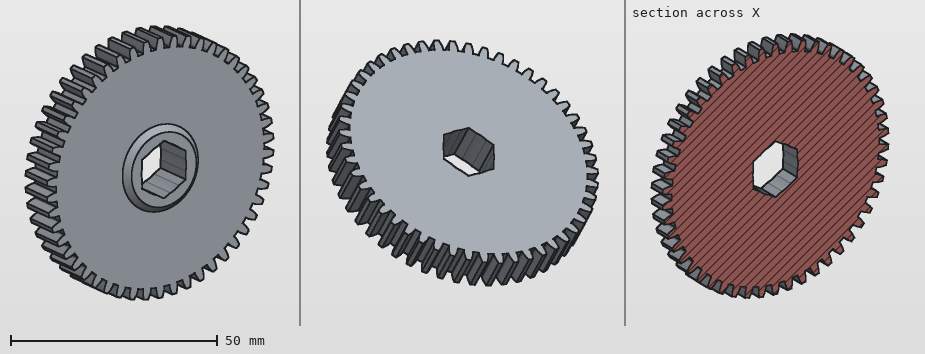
import cadquery as cq
import math

OUTER_DIAMETER = 66.05
TOOTH_COUNT = 50
PRESSURE_ANGLE = math.radians(14.5)
DEDENDUM_FACTOR = 1.157
GEAR_WIDTH = 9.4
FLANK_STEPS = 4

HUB_BASE_DIAMETER = 22.05
HUB_TAPER_DEGREES = 45.0
HUB_HEIGHT = 1.6

HEX_ACROSS_FLATS = 12.7
BORE_DIAMETER = 13.0

MODULE = OUTER_DIAMETER / (TOOTH_COUNT + 2)
OUTER_RADIUS = OUTER_DIAMETER / 2
PITCH_RADIUS = MODULE * TOOTH_COUNT / 2
BASE_RADIUS = PITCH_RADIUS * math.cos(PRESSURE_ANGLE)
ROOT_RADIUS = PITCH_RADIUS - DEDENDUM_FACTOR * MODULE
TOOTH_PITCH_ANGLE = 2 * math.pi / TOOTH_COUNT
FIRST_TOOTH_ANGLE = math.pi / 2
TOTAL_WIDTH = GEAR_WIDTH + HUB_HEIGHT


def involute(angle):
    """Polar angle swept by an involute when its pressure angle reaches the given angle."""
    return math.tan(angle) - angle


def tooth_half_angle(radius):
    """Half the angle a tooth spans at a radius; flanks are radial below the base circle."""
    pressure = math.acos(min(1.0, BASE_RADIUS / radius))
    return TOOTH_PITCH_ANGLE / 4 + involute(PRESSURE_ANGLE) - involute(pressure)


def polar(radius, angle):
    return (radius * math.cos(angle), radius * math.sin(angle))


def flank_points(center_angle, side):
    """Involute points from the base circle out to the tip, on one side of a tooth."""
    points = []
    for step in range(FLANK_STEPS + 1):
        radius = BASE_RADIUS + (OUTER_RADIUS - BASE_RADIUS) * step / FLANK_STEPS
        points.append(polar(radius, center_angle + side * tooth_half_angle(radius)))
    return points


def toothed_disc():
    root_half_angle = tooth_half_angle(ROOT_RADIUS)
    start = polar(ROOT_RADIUS, FIRST_TOOTH_ANGLE - root_half_angle)
    outline = cq.Workplane("YZ").moveTo(*start)
    for tooth in range(TOOTH_COUNT):
        center = FIRST_TOOTH_ANGLE + tooth * TOOTH_PITCH_ANGLE
        rising = flank_points(center, -1)
        falling = flank_points(center, 1)[::-1]
        outline = outline.lineTo(*rising[0]).spline(rising[1:], includeCurrent=True)
        outline = outline.threePointArc(polar(OUTER_RADIUS, center), falling[0])
        outline = outline.spline(falling[1:], includeCurrent=True)
        outline = outline.lineTo(*polar(ROOT_RADIUS, center + root_half_angle))
        gap_middle = polar(ROOT_RADIUS, center + TOOTH_PITCH_ANGLE / 2)
        next_root = polar(ROOT_RADIUS, center + TOOTH_PITCH_ANGLE - root_half_angle)
        outline = outline.threePointArc(gap_middle, next_root)
    return outline.close().extrude(GEAR_WIDTH)


def hub():
    gear_face = cq.Workplane("YZ", origin=(GEAR_WIDTH, 0, 0))
    return gear_face.circle(HUB_BASE_DIAMETER / 2).extrude(HUB_HEIGHT, taper=HUB_TAPER_DEGREES)


def bore():
    across_corners = HEX_ACROSS_FLATS / math.cos(math.pi / 6)
    hexagon = cq.Workplane("YZ").transformed(rotate=(0, 0, 90)).polygon(6, across_corners)
    relief = cq.Workplane("YZ").circle(BORE_DIAMETER / 2)
    return hexagon.extrude(TOTAL_WIDTH).union(relief.extrude(TOTAL_WIDTH))


result = toothed_disc().union(hub()).cut(bore())